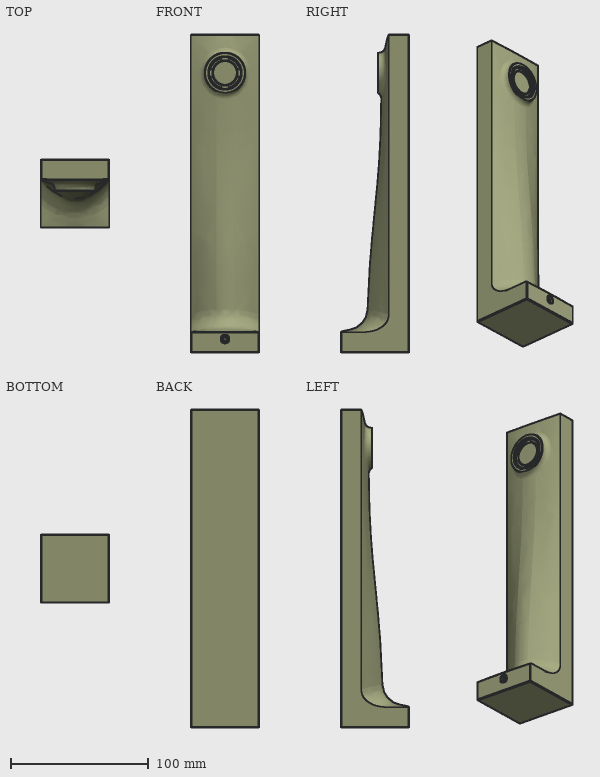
import cadquery as cq

HEIGHT = 231.0
WIDTH = 50.0
DEPTH = 50.0
HALF_WIDTH = WIDTH / 2

WALL = 15.0
EDGE_CHAMFER = 0.7
CORNER_RADIUS = 15.2
MARGIN = 2.3

LEG_BULGE = ((0.0, 17.8), (31.0, 15.5), (99.3, 10.6), (182.5, 5.5), (224.0, 2.0), (HEIGHT, 0.2))
FOOT_BULGE = ((0.0, 4.6), (32.3, 3.2), (43.2, 1.8), (DEPTH, 0.2))
CROWN_HALF_WIDTH = 6.0
CROWN_EDGE_SHARE = 0.93
FLANK_MID_SHARE = 0.57

SPOUT_Z = 203.0
SPOUT_FRONT = 23.0
RIM_DIAMETER = 29.5
RIM_CHAMFER = 0.5
SPOUT_FILLET = 4.5
BORE_DIAMETER = 24.5
BORE_DEPTH = 7.0
BORE_FLOOR = SPOUT_FRONT - BORE_DEPTH

INSERT_RECESS = 1.2
INSERT_LENGTH = BORE_DEPTH - INSERT_RECESS
SLEEVE_INNER_DIAMETER = 22.9
SLEEVE_CHAMFER = 0.35
RING_INNER_DIAMETER = 18.5
RING_FACE_DIAMETER = 22.0
RING_CHAMFER = (SLEEVE_INNER_DIAMETER - RING_FACE_DIAMETER) / 2
FULL_TURN = 360
SLOT_COUNT = 4
SLOT_WIDTH = 5.5
SLOT_DEPTH = 1.2
SLOT_OVERRUN = 1.0
CORE_NECK_DIAMETER = 17.5
CORE_FACE_DIAMETER = 17.0
CORE_NECK_LENGTH = 1.2
CORE_CHAMFER = (CORE_NECK_DIAMETER - CORE_FACE_DIAMETER) / 2

SCREW_Z = 10.0
SCREW_DIAMETER = 5.5
SCREW_LENGTH = 9.2
SCREW_RECESS = 1.8
SCREW_HOLE_CHAMFER = 0.5
SCREW_CHAMFER = 0.7
SOCKET_SIDES = 6
SOCKET_SIZE = 2.5
SOCKET_DEPTH = 2.3


def front_plane(distance, z):
    """Plane facing -Y, at the given distance in front of the back face, centred on X = 0."""
    return cq.Plane(origin=(0, -distance, z), xDir=(1, 0, 0), normal=(0, -1, 0))


def front_cylinder(base, z, diameter, length):
    """Cylinder that grows towards the front from the given distance."""
    return cq.Workplane(front_plane(base, z)).circle(diameter / 2).extrude(length)


def bulged_section(plane, bulge):
    """Wire of a slab of wall thickness whose outer side bulges: a central arc and two flanks."""
    crown_edge = WALL + CROWN_EDGE_SHARE * bulge
    flank_x = (CROWN_HALF_WIDTH + HALF_WIDTH) / 2
    flank = WALL + FLANK_MID_SHARE * bulge
    return (
        cq.Workplane(plane)
        .moveTo(-HALF_WIDTH, 0)
        .lineTo(-HALF_WIDTH, WALL)
        .threePointArc((-flank_x, flank), (-CROWN_HALF_WIDTH, crown_edge))
        .threePointArc((0, WALL + bulge), (CROWN_HALF_WIDTH, crown_edge))
        .threePointArc((flank_x, flank), (HALF_WIDTH, WALL))
        .lineTo(HALF_WIDTH, 0)
        .close()
        .val()
    )


def make_leg():
    sections = []
    for z, bulge in LEG_BULGE:
        plane = cq.Plane(origin=(0, 0, z), xDir=(1, 0, 0), normal=(0, 0, -1))
        sections.append(bulged_section(plane, bulge))
    return cq.Workplane(cq.Solid.makeLoft(sections))


def make_foot():
    sections = []
    for distance, bulge in FOOT_BULGE:
        sections.append(bulged_section(front_plane(distance, 0), bulge))
    return cq.Workplane(cq.Solid.makeLoft(sections))


def join_leg_and_foot():
    """Leg and foot united, with the concave fillet along the line where their bulges meet."""
    body = make_leg().union(make_foot())
    inner_corner = cq.selectors.BoxSelector(
        (-HALF_WIDTH + MARGIN, -2 * WALL - MARGIN, WALL),
        (HALF_WIDTH - MARGIN, -WALL, WALL + FOOT_BULGE[0][1]),
    )
    return body.edges(inner_corner).fillet(CORNER_RADIUS)


def chamfer_bulged_ends(body):
    """Chamfers on the curved edges at the top of the leg and along the front of the foot."""
    leg_end = cq.selectors.BoxSelector(
        (-HALF_WIDTH, -WALL - MARGIN, HEIGHT - EDGE_CHAMFER / 2), (HALF_WIDTH, -WALL, HEIGHT + MARGIN)
    )
    foot_end = cq.selectors.BoxSelector(
        (-HALF_WIDTH, -DEPTH - MARGIN, WALL), (HALF_WIDTH, -DEPTH + EDGE_CHAMFER / 2, WALL + MARGIN)
    )
    return body.edges(leg_end).chamfer(EDGE_CHAMFER).edges(foot_end).chamfer(EDGE_CHAMFER)


def make_shell():
    """Solid L shape trimmed to a box with chamfered edges."""
    envelope = (
        cq.Workplane("XY")
        .box(WIDTH, DEPTH, HEIGHT, centered=(True, False, False))
        .translate((0, -DEPTH, 0))
        .edges()
        .chamfer(EDGE_CHAMFER)
    )
    return chamfer_bulged_ends(join_leg_and_foot()).intersect(envelope)


def add_spout_boss(body):
    """Round boss that blends into the leg through a fillet and carries the bore for the insert."""
    boss = front_cylinder(0, SPOUT_Z, RIM_DIAMETER, SPOUT_FRONT)
    boss = boss.faces("<Y").edges().chamfer(RIM_CHAMFER)
    body = body.union(boss)
    boss_foot = cq.selectors.BoxSelector(
        (-RIM_DIAMETER / 2, -SPOUT_FRONT + MARGIN, SPOUT_Z - RIM_DIAMETER / 2),
        (RIM_DIAMETER / 2, -WALL, SPOUT_Z + RIM_DIAMETER / 2),
    )
    body = body.edges(boss_foot).edges("not |Y").fillet(SPOUT_FILLET)
    return body.cut(front_cylinder(BORE_FLOOR, SPOUT_Z, BORE_DIAMETER, BORE_DEPTH))


def cut_screw_hole(body):
    """Blind hole in the front of the foot, with a countersunk mouth."""
    hole_depth = SCREW_RECESS + SCREW_LENGTH
    mouth_radius = SCREW_DIAMETER / 2 + SCREW_HOLE_CHAMFER
    mouth = cq.Solid.makeCone(
        mouth_radius,
        SCREW_DIAMETER / 2,
        SCREW_HOLE_CHAMFER,
        pnt=cq.Vector(0, -DEPTH, SCREW_Z),
        dir=cq.Vector(0, 1, 0),
    )
    hole = front_cylinder(DEPTH - hole_depth, SCREW_Z, SCREW_DIAMETER, hole_depth)
    return body.cut(hole).cut(cq.Workplane(mouth))


def make_housing():
    return cut_screw_hole(add_spout_boss(make_shell()))


def make_sleeve():
    """Plain sleeve that lines the bore."""
    sleeve = front_cylinder(BORE_FLOOR, SPOUT_Z, BORE_DIAMETER, INSERT_LENGTH)
    sleeve = sleeve.faces("<Y").edges().chamfer(SLEEVE_CHAMFER)
    return sleeve.cut(front_cylinder(BORE_FLOOR, SPOUT_Z, SLEEVE_INNER_DIAMETER, INSERT_LENGTH))


def make_slotted_ring():
    """Ring inside the sleeve, with wrench slots across its front face."""
    ring = front_cylinder(BORE_FLOOR, SPOUT_Z, SLEEVE_INNER_DIAMETER, INSERT_LENGTH)
    ring = ring.faces("<Y").edges().chamfer(RING_CHAMFER)
    ring = ring.cut(front_cylinder(BORE_FLOOR, SPOUT_Z, RING_INNER_DIAMETER, INSERT_LENGTH))
    slot_floor = BORE_FLOOR + INSERT_LENGTH - SLOT_DEPTH
    slots = (
        cq.Workplane(front_plane(slot_floor, SPOUT_Z))
        .polarArray((RING_INNER_DIAMETER + RING_FACE_DIAMETER) / 4, 0, FULL_TURN, SLOT_COUNT)
        .rect((RING_FACE_DIAMETER - RING_INNER_DIAMETER) / 2 + SLOT_OVERRUN, SLOT_WIDTH)
        .extrude(SLOT_DEPTH)
    )
    return ring.cut(slots)


def make_core():
    """Disc that fills the slotted ring, stepped down to a narrower neck at the front."""
    flange_length = INSERT_LENGTH - CORE_NECK_LENGTH
    flange = front_cylinder(BORE_FLOOR, SPOUT_Z, RING_INNER_DIAMETER, flange_length)
    neck = front_cylinder(BORE_FLOOR, SPOUT_Z, CORE_NECK_DIAMETER, INSERT_LENGTH)
    neck = neck.faces("<Y").edges().chamfer(CORE_CHAMFER)
    return flange.union(neck)


def make_set_screw():
    """Headless screw with a hexagon socket."""
    screw_front = DEPTH - SCREW_RECESS
    screw = front_cylinder(screw_front - SCREW_LENGTH, SCREW_Z, SCREW_DIAMETER, SCREW_LENGTH)
    screw = screw.faces("<Y").edges().chamfer(SCREW_CHAMFER)
    socket = (
        cq.Workplane(front_plane(screw_front - SOCKET_DEPTH, SCREW_Z))
        .polygon(SOCKET_SIDES, SOCKET_SIZE)
        .extrude(SOCKET_DEPTH)
    )
    return screw.cut(socket)


housing = make_housing()
sleeve = make_sleeve()
slotted_ring = make_slotted_ring()
core = make_core()
set_screw = make_set_screw()

result = cq.Compound.makeCompound(
    [body.solids().val() for body in (housing, sleeve, slotted_ring, core, set_screw)]
)